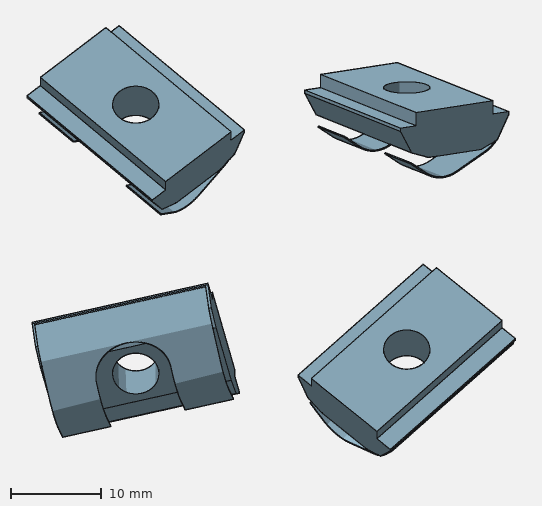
import cadquery as cq
import math

length = 20.0
width = 14.05
neck_width = 10.0
base_width = 6.8
knee_width = 11.1
shoulder_depth = 1.5
flank_depth = 1.88
knee_depth = 4.55
body_height = 5.35
hole_diameter = 5.1

spring_length = 19.45
spring_thickness = 0.15
spring_bottom = 7.98
spring_bottom_y = -1.25
leaf_angle = math.radians(25.5)
tip_angle = math.radians(35.5)
spring_tip_y = -5.5
shoulder_bend_radius = 3.8
bottom_bend_radius = 4.0

relief_width = 8.45
relief_end_y = 4.2
relief_end_depth = 3.25


def make_body():
    """Extrude the symmetric nut section along X and drill the centre hole."""
    half_section = [
        (neck_width / 2, 0),
        (neck_width / 2, -shoulder_depth),
        (width / 2, -shoulder_depth),
        (width / 2, -flank_depth),
        (knee_width / 2, -knee_depth),
        (base_width / 2, -body_height),
    ]
    mirrored = [(-y, z) for y, z in reversed(half_section)]
    body = (
        cq.Workplane("YZ")
        .polyline(half_section + mirrored)
        .close()
        .extrude(length / 2, both=True)
    )
    hole = cq.Workplane("XY").circle(hole_diameter / 2).extrude(-body_height)
    return body.cut(hole)


def crossing(point_a, angle_a, point_b, angle_b):
    """Intersect two lines, each given by a point and its angle in the YZ plane."""
    ya, za = point_a
    yb, zb = point_b
    slope_a = math.tan(angle_a)
    slope_b = math.tan(angle_b)
    y = (zb - za + slope_a * ya - slope_b * yb) / (slope_a - slope_b)
    return y, za + slope_a * (y - ya)


def shifted(point, angle, distance):
    """Move a point square to a line, towards its upper side."""
    y, z = point
    return y - distance * math.sin(angle), z + distance * math.cos(angle)


def make_spring():
    """Bend the strip from three straight runs joined by two concentric bends."""
    flank_angle = math.atan2(knee_depth - flank_depth, (width - knee_width) / 2)
    flank_top = (width / 2, -flank_depth)
    bend_centre = (spring_bottom_y, bottom_bend_radius - spring_bottom)
    leaf_point = shifted(bend_centre, leaf_angle, -bottom_bend_radius)
    tip_point = shifted(bend_centre, -tip_angle, -bottom_bend_radius)

    flank_outer = shifted(flank_top, flank_angle, -spring_thickness)
    outer_start = crossing(flank_outer, flank_angle, (width / 2, 0), math.pi / 2)
    outer_end = crossing(tip_point, -tip_angle, (spring_tip_y, 0), math.pi / 2)

    def face_points(offset):
        """Corners of the face at this distance above the outer face."""
        flank = shifted(flank_outer, flank_angle, offset)
        leaf = shifted(leaf_point, leaf_angle, offset)
        tip = shifted(tip_point, -tip_angle, offset)
        return [
            shifted(outer_start, flank_angle, offset),
            crossing(flank, flank_angle, leaf, leaf_angle),
            crossing(leaf, leaf_angle, tip, -tip_angle),
            shifted(outer_end, -tip_angle, offset),
        ]

    outer = face_points(0)
    inner = face_points(spring_thickness)
    strip = (
        cq.Workplane("YZ")
        .polyline(outer + inner[::-1])
        .close()
        .extrude(spring_length / 2, both=True)
    )
    bends = [
        (outer[1], shoulder_bend_radius),
        (inner[1], shoulder_bend_radius - spring_thickness),
        (outer[2], bottom_bend_radius),
        (inner[2], bottom_bend_radius - spring_thickness),
    ]
    for (y, z), radius in bends:
        corner = cq.selectors.NearestToPointSelector((0, y, z))
        strip = strip.edges("|X").edges(corner).fillet(radius)
    return strip.cut(make_relief())


def make_relief():
    """Slot with a half-elliptic inner end, open at the spring tip."""
    end_centre_y = relief_end_y - relief_end_depth
    round_end = (
        cq.Workplane("XY")
        .center(0, end_centre_y)
        .ellipse(relief_width / 2, relief_end_depth)
        .extrude(-spring_bottom)
    )
    straight_length = end_centre_y + width / 2
    straight = (
        cq.Workplane("XY")
        .center(0, end_centre_y - straight_length / 2)
        .rect(relief_width, straight_length)
        .extrude(-spring_bottom)
    )
    return round_end.union(straight)


result = make_body().union(make_spring())